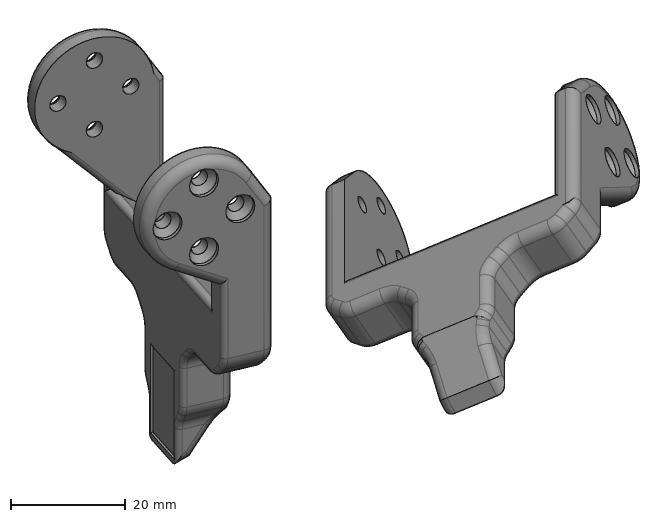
import cadquery as cq
import math

height = 73.4
half_width = 25.1
arm_thickness = 4.5
inner_half = half_width - arm_thickness
plate_depth = 10.0

pad_radius = 11.45
pad_forward = 13.5
pad_z = height - pad_radius

shoulder_z = 26.6
corner_cut = 4.0
corner_radius = 4.0
neck_half = 8.1
toe_half = 6.1
taper_top_z = 12.05
taper_angle = math.radians(30)
taper_bottom_z = taper_top_z - (neck_half - toe_half) / math.tan(taper_angle)

bevel_top_z = 10.65
underside_start = 7.05
underside_z = 1.1

ridge_z = 41.5
web_slope = math.radians(35)
web_back_z = ridge_z - plate_depth * math.tan(web_slope)

right_flank_slope = math.radians(30)

outer_round = 2.0
front_round = 1.0

hole_count = 4
hole_circle_radius = 7.0
hole_diameter = 3.1
sink_diameter = 5.5
bore_depth = 0.7
cone_depth = 1.2

recess_half = 5.0
recess_bottom_z = 1.1
recess_top_z = 19.1
recess_depth = 0.5

plate_top_z = 49.9
toe_spare = 7.35
tolerance = 0.01


def near(a, b):
    """True when two coordinates agree."""
    return abs(a - b) < tolerance


def runs_along_y(edge):
    return near(abs(edge.tangentAt(0.5).y), 1)



half_outline = [
    (half_width, shoulder_z + corner_cut),
    (half_width - corner_cut, shoulder_z),
    (neck_half + corner_cut, shoulder_z),
    (neck_half, shoulder_z - corner_cut),
    (neck_half, taper_top_z),
    (toe_half, taper_bottom_z),
]


def make_outline_prism():
    """Front outline with rounded corners; the toe is left too long."""
    right_side = [(half_width, plate_top_z)] + half_outline + [(toe_half, -toe_spare)]
    left_side = [(-x, z) for x, z in reversed(right_side)]
    prism = cq.Workplane("XZ").polyline(right_side + left_side).close().extrude(plate_depth)

    def at_outline_corner(edge):
        c = edge.Center()
        return any(near(abs(c.x), x) and near(c.z, z) for x, z in half_outline)

    return prism.edges("|Y").filter(at_outline_corner).fillet(corner_radius)


def make_toe_profile():
    """Side profile of the plate with the bevelled toe, across the full width."""
    return (
        cq.Workplane("YZ", origin=(-half_width, 0, 0))
        .moveTo(-plate_depth, 0)
        .lineTo(-underside_start, underside_z)
        .lineTo(0, bevel_top_z)
        .lineTo(0, plate_top_z)
        .lineTo(-plate_depth, plate_top_z)
        .close()
        .extrude(2 * half_width)
    )


def make_plate():
    """Plate with small rounds along the front outline and large ones at the back and toe."""
    prism = make_outline_prism()

    def on_front_outline(edge):
        c = edge.Center()
        return near(c.y, -plate_depth) and not near(c.x, 0)

    def on_back_outline(edge):
        c = edge.Center()
        return c.y > tolerance - plate_depth and not near(c.x, 0) and not runs_along_y(edge)

    front_rounded = prism.edges().filter(on_front_outline).fillet(front_round)
    toed = prism.intersect(make_toe_profile())
    back_rounded = toed.edges().filter(on_back_outline).fillet(outer_round)
    return front_rounded.intersect(back_rounded)


def make_channel():
    """Opening between the arms, above the sloped web and its rounded front and back edges."""
    mitre_low_x = -half_width + front_round
    mitre_high_x = -half_width + outer_round
    mitre_low_z = ridge_z - front_round / math.tan((math.pi / 2 - web_slope) / 2)
    mitre_high_z = mitre_low_z + front_round
    web = (
        cq.Workplane("YZ", origin=(mitre_low_x, 0, 0))
        .moveTo(-plate_depth, shoulder_z)
        .lineTo(0, shoulder_z)
        .lineTo(0, web_back_z)
        .lineTo(-plate_depth, ridge_z)
        .close()
        .extrude(inner_half - mitre_low_x)
    )
    web = web.edges("|X").filter(lambda edge: edge.Center().z > shoulder_z + tolerance).fillet(front_round)
    opening = (
        cq.Workplane("XZ")
        .moveTo(inner_half, shoulder_z)
        .lineTo(mitre_low_x, shoulder_z)
        .lineTo(mitre_low_x, mitre_low_z)
        .lineTo(mitre_high_x, mitre_high_z)
        .lineTo(mitre_high_x, plate_top_z)
        .lineTo(inner_half, plate_top_z)
        .close()
        .extrude(plate_depth)
    )
    return opening.cut(web)



rear_angle = math.pi - math.acos(pad_radius / pad_forward)

ridge_to_pad_y = pad_forward - plate_depth
ridge_to_pad_z = pad_z - ridge_z
ridge_to_pad = math.hypot(ridge_to_pad_y, ridge_to_pad_z)
left_flank_slope = math.atan2(ridge_to_pad_z, ridge_to_pad_y) - math.asin(pad_radius / ridge_to_pad)


def pad_point(angle):
    """Point (y, z) on the pad rim; the angle rises from the front."""
    return (-pad_forward - pad_radius * math.cos(angle), pad_z + pad_radius * math.sin(angle))


def start_arm(flank_slope):
    """Side outline up to the rear tangent point; the lower flank is carried on to the back face."""
    tangent_y, tangent_z = pad_point(flank_slope - math.pi / 2)
    flank_back_z = tangent_z + tangent_y * math.tan(flank_slope)
    return (
        cq.Workplane("YZ")
        .moveTo(tangent_y, tangent_z)
        .lineTo(0, flank_back_z)
        .lineTo(0, pad_z)
        .lineTo(*pad_point(rear_angle))
    )


def make_arm(flank_slope):
    """Left-handed arm with its outer face at X = 0, rounded all round that face."""
    arm = (
        start_arm(flank_slope)
        .threePointArc(pad_point(math.pi / 4), pad_point(flank_slope - math.pi / 2))
        .close()
        .extrude(arm_thickness)
    )
    return arm.faces("<X").edges().fillet(outer_round)


def round_inner_flanks(arm, flank_slope):
    """Round the inner edges of the back and both flanks, leaving the pad disc whole."""
    wedge = start_arm(flank_slope).close().extrude(arm_thickness)
    chord_y = (pad_point(rear_angle)[0] + pad_point(flank_slope - math.pi / 2)[0]) / 2
    inner_edges = wedge.faces(">X").edges().filter(lambda edge: not near(edge.Center().y, chord_y))
    disc = cq.Workplane("YZ").center(-pad_forward, pad_z).circle(pad_radius).extrude(arm_thickness)
    return arm.intersect(inner_edges.fillet(front_round).union(disc))


def make_screw_holes():
    """Left-handed set of countersunk holes, entering from the outer face at X = 0."""
    hole_section = (
        cq.Workplane("XY")
        .lineTo(0, sink_diameter / 2)
        .lineTo(bore_depth, sink_diameter / 2)
        .lineTo(bore_depth + cone_depth, hole_diameter / 2)
        .lineTo(arm_thickness, hole_diameter / 2)
        .lineTo(arm_thickness, 0)
        .close()
    )
    hole = hole_section.revolve(360, (0, 0, 0), (1, 0, 0))
    holes = cq.Workplane("XY")
    for i in range(hole_count):
        angle = i * 2 * math.pi / hole_count
        y = -pad_forward + hole_circle_radius * math.cos(angle)
        z = pad_z + hole_circle_radius * math.sin(angle)
        holes = holes.add(hole.translate((0, y, z)))
    return holes.combine()


screw_holes = make_screw_holes()
left_arm = round_inner_flanks(make_arm(left_flank_slope), left_flank_slope).cut(screw_holes)
right_arm = make_arm(right_flank_slope).cut(screw_holes).mirror("YZ")


recess = (
    cq.Workplane("XY")
    .box(2 * recess_half, recess_depth, recess_top_z - recess_bottom_z, centered=(True, False, False))
    .translate((0, -plate_depth, recess_bottom_z))
)

result = (
    make_plate()
    .cut(make_channel())
    .union(left_arm.translate((-half_width, 0, 0)))
    .union(right_arm.translate((half_width, 0, 0)))
    .cut(recess)
)